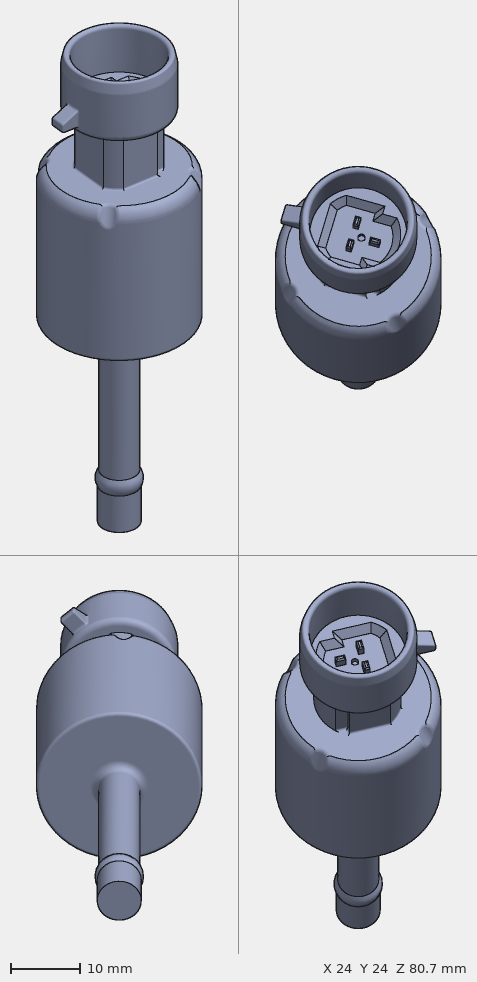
import cadquery as cq
import math

overall_height = 80.7
end_sleeve_top = 6.3
bead_middle = 7.6
bead_top = 8.9
body_bottom = 35.2
body_top = 61.15
head_bottom = 70.6
head_taper_start = 78.9
head_floor = 72.8

tube_radius = 6.0 / 2
end_sleeve_radius = 6.4 / 2
bead_radius = 7.0 / 2
tube_root_fillet = 1.2

body_radius = 24.0 / 2
body_bottom_fillet = 0.5
shoulder_radius = 2.5
shoulder_height = 2.25

notch_count = 4
notch_radius = 1.6
notch_edge_fillet = 0.65
notch_top_radius = 10.3
notch_bottom = 58.0

neck_radius = 6.45
neck_flat = 5.5
neck_rear_half_width = 4.5
neck_step = 2.75
neck_root_fillet = 0.3

head_radius = 16.95 / 2
head_top_radius = 8.1
head_bottom_fillet = 1.0
rim_outer_fillet = 0.3
rim_inner_fillet = 0.6
taper_blend_radius = 1.0
bore_top_radius = 7.1
bore_floor_radius = 7.0

socket_depth = 1.1
socket_draft = socket_depth
socket_radius = 6.1
socket_flat = 5.2
socket_rear_half_width = 3.95
socket_step = 2.5

socket_floor = head_floor - socket_depth
pin_height = 1.6
pin_length = 1.45
pin_thickness = 0.8
pin_tip_chamfer = 0.25
front_pin_offset = 1.8
front_pin_y = -0.7
rear_pin_x = 0.3
rear_pin_y = 2.6
vent_diameter = 1.05
vent_y = 0.5
vent_depth = 0.8

latch_width = 2.7
latch_reach = 11.3
latch_bottom = 71.8
latch_tip_top = 73.25
latch_root_top = 74.6
latch_tip_fillet = 0.4
latch_edge_fillet = 0.25
latch_root_fillet = 0.4

margin = 0.1


def keyed_outline(z, radius, flat, rear_half_width, step):
    """Circle with side and front flats whose rear part is narrowed by two steps."""
    corner = math.sqrt(radius**2 - flat**2)
    rear_y = math.sqrt(radius**2 - rear_half_width**2)
    diagonal = radius / math.sqrt(2)
    return (
        cq.Workplane("XY", origin=(0, 0, z))
        .moveTo(-corner, -flat)
        .lineTo(corner, -flat)
        .threePointArc((diagonal, -diagonal), (flat, -corner))
        .lineTo(flat, step)
        .lineTo(rear_half_width, step)
        .lineTo(rear_half_width, rear_y)
        .threePointArc((0, radius), (-rear_half_width, rear_y))
        .lineTo(-rear_half_width, step)
        .lineTo(-flat, step)
        .lineTo(-flat, -corner)
        .threePointArc((-diagonal, -diagonal), (-corner, -flat))
        .close()
    )


def make_body():
    """Tube with its bead, and the body with a rounded shoulder, turned in one piece."""
    shoulder_start = body_top - shoulder_height
    shoulder_center = body_radius - shoulder_radius
    end_angle = math.asin(shoulder_height / shoulder_radius)
    mid_angle = end_angle / 2
    shoulder_mid = (
        shoulder_center + shoulder_radius * math.cos(mid_angle),
        shoulder_start + shoulder_radius * math.sin(mid_angle),
    )
    shoulder_end = (shoulder_center + shoulder_radius * math.cos(end_angle), body_top)
    root_bottom = body_bottom - tube_root_fillet
    return (
        cq.Workplane("XZ")
        .lineTo(end_sleeve_radius, 0)
        .lineTo(end_sleeve_radius, end_sleeve_top)
        .threePointArc((bead_radius, bead_middle), (tube_radius, bead_top))
        .lineTo(tube_radius, root_bottom)
        .radiusArc((tube_radius + tube_root_fillet, body_bottom), tube_root_fillet)
        .lineTo(body_radius - body_bottom_fillet, body_bottom)
        .radiusArc((body_radius, body_bottom + body_bottom_fillet), -body_bottom_fillet)
        .lineTo(body_radius, shoulder_start)
        .threePointArc(shoulder_mid, shoulder_end)
        .lineTo(0, body_top)
        .close()
        .revolve(360, (0, 0, 0), (0, 1, 0))
    )


def cut_notches(body):
    """Cut slanted round notches across the shoulder and round their edges."""
    run = body_radius - notch_top_radius
    rise = body_top - notch_bottom
    length = math.hypot(run, rise)
    axis = cq.Vector(-run, 0, rise) / length
    outward = cq.Vector(rise, 0, run) / length
    notch_root = cq.Vector(body_radius, 0, notch_bottom)
    start = notch_root + outward * notch_radius - axis * length
    cutter = cq.Workplane(cq.Solid.makeCylinder(notch_radius, 3 * length, start, axis))
    notch_face = cq.selectors.NearestToPointSelector((notch_root + axis * (length / 2)).toTuple())

    step_angle = 360 / notch_count
    body = body.rotate((0, 0, 0), (0, 0, 1), step_angle / 2)
    for _ in range(notch_count):
        body = body.cut(cutter)
        body = body.faces("not #Z").faces(notch_face).edges().fillet(notch_edge_fillet)
        body = body.rotate((0, 0, 0), (0, 0, 1), step_angle)
    return body.rotate((0, 0, 0), (0, 0, 1), -step_angle / 2)


def make_head():
    """Turned connector shell with a tapered bore, open at the top."""
    shell = (
        cq.Workplane("XZ")
        .moveTo(0, head_bottom)
        .lineTo(head_radius - head_bottom_fillet, head_bottom)
        .radiusArc((head_radius, head_bottom + head_bottom_fillet), -head_bottom_fillet)
        .lineTo(head_radius, head_taper_start)
        .lineTo(head_top_radius, overall_height)
        .lineTo(bore_top_radius, overall_height)
        .lineTo(bore_floor_radius, head_floor)
        .lineTo(0, head_floor)
        .close()
        .revolve(360, (0, 0, 0), (0, 1, 0))
    )
    shell = shell.edges(cq.selectors.RadiusNthSelector(-1)).edges(">Z").fillet(taper_blend_radius)
    shell = shell.faces(">Z").edges(cq.selectors.RadiusNthSelector(0)).fillet(rim_inner_fillet)
    return shell.faces(">Z").edges(cq.selectors.RadiusNthSelector(-1)).fillet(rim_outer_fillet)


def add_neck(body):
    """Stand the keyed neck on the body, with a small fillet around its foot."""
    neck_size = (neck_radius, neck_flat, neck_rear_half_width, neck_step)
    neck = keyed_outline(body_top, *neck_size).extrude(head_bottom - body_top)
    foot = cq.selectors.BoxSelector(
        (-neck_radius, -neck_radius, body_top - margin),
        (neck_radius, neck_radius, body_top + margin),
        boundingbox=True,
    )
    return body.union(neck).edges(foot).fillet(neck_root_fillet)


def make_latch():
    """Sloped latch for the front of the head, reaching back into the shell wall."""
    root_y = -(head_radius + bore_top_radius) / 2
    slope = (latch_root_top - latch_tip_top) / (latch_reach - head_radius)
    inner_top = latch_root_top + slope * (head_radius + root_y)
    return (
        cq.Workplane("YZ", origin=(-latch_width / 2, 0, 0))
        .moveTo(root_y, latch_bottom)
        .lineTo(-latch_reach, latch_bottom)
        .lineTo(-latch_reach, latch_tip_top)
        .lineTo(root_y, inner_top)
        .close()
        .extrude(latch_width)
        .edges("|X and <Y")
        .fillet(latch_tip_fillet)
        .faces("<X or >X")
        .edges("not >Y")
        .fillet(latch_edge_fillet)
    )


def add_latch(part):
    """Join the latch to the head and fillet the seam between them."""
    seam_back = -head_radius - margin
    seam_front = -math.sqrt(head_radius**2 - (latch_width / 2) ** 2) + margin
    seam = cq.selectors.BoxSelector(
        (-latch_width / 2 - margin, seam_back, latch_bottom - margin),
        (latch_width / 2 + margin, seam_front, latch_root_top + margin),
        boundingbox=True,
    )
    return part.union(make_latch()).edges(seam).fillet(latch_root_fillet)


def make_socket():
    """Keyed pocket whose walls slope inward below the head floor."""
    mouth_size = (socket_radius, socket_flat, socket_rear_half_width, socket_step)
    floor_size = [size - socket_draft for size in mouth_size]
    mouth = keyed_outline(head_floor, *mouth_size).val()
    floor = keyed_outline(socket_floor, *floor_size).val()
    return cq.Workplane(cq.Solid.makeLoft([mouth, floor], True))


def make_vent():
    """Small blind hole in the socket floor."""
    return (
        cq.Workplane("XY", origin=(0, vent_y, socket_floor))
        .circle(vent_diameter / 2)
        .extrude(-vent_depth)
    )


def make_pin(x, y, size_x, size_y):
    """Flat contact blade with a chamfered tip."""
    return (
        cq.Workplane("XY", origin=(x, y, socket_floor))
        .rect(size_x, size_y)
        .extrude(pin_height)
        .faces(">Z")
        .edges()
        .chamfer(pin_tip_chamfer)
    )


result = cut_notches(make_body())
result = add_neck(result)
result = result.union(make_head())
result = add_latch(result)
result = result.cut(make_socket()).cut(make_vent())
for pin_x in (-front_pin_offset, front_pin_offset):
    result = result.union(make_pin(pin_x, front_pin_y, pin_length, pin_thickness))
result = result.union(make_pin(rear_pin_x, rear_pin_y, pin_thickness, pin_length))